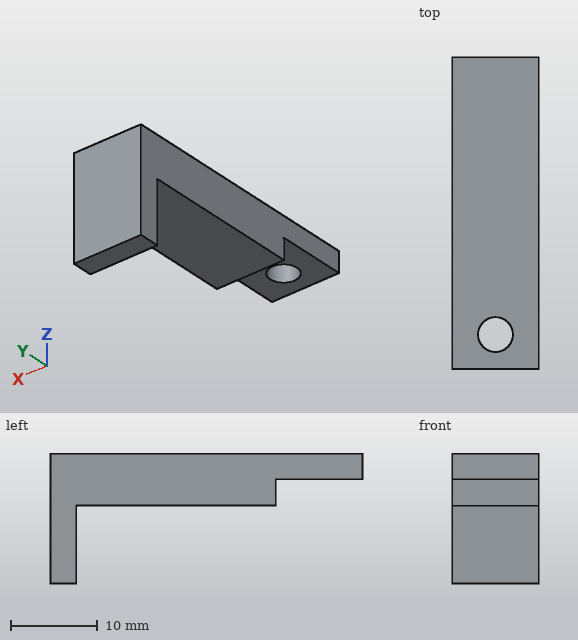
import cadquery as cq

length = 36.0
width = 10.0
height = 15.0

arm_thickness = 6.0
tongue_thickness = 3.0
tongue_length = 10.0
leg_thickness = 3.0

hole_diameter = 4.0
hole_from_front = 4.0

side_profile = [
    (0, 0),
    (length, 0),
    (length, -height),
    (length - leg_thickness, -height),
    (length - leg_thickness, -arm_thickness),
    (tongue_length, -arm_thickness),
    (tongue_length, -tongue_thickness),
    (0, -tongue_thickness),
]
bracket = cq.Workplane("YZ").polyline(side_profile).close().extrude(width / 2, both=True)

hole = (
    cq.Workplane("XY")
    .center(0, hole_from_front)
    .circle(hole_diameter / 2)
    .extrude(-tongue_thickness)
)

result = bracket.cut(hole)